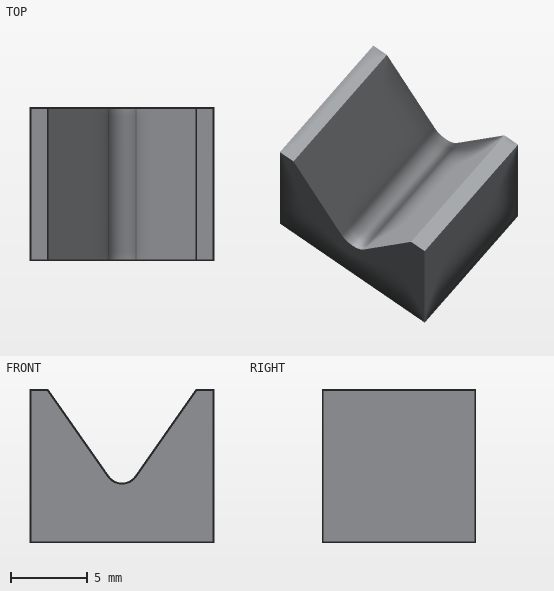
import cadquery as cq
import math

width = 12.0
depth = 10.0
height = 10.0

groove_top_width = 9.75
flank_angle = math.radians(35)
root_radius = 1.1

half_top = groove_top_width / 2
half_root = root_radius * math.cos(flank_angle)
root_z = height - (half_top - half_root) / math.tan(flank_angle)
bottom_z = root_z - root_radius * (1 - math.sin(flank_angle))

profile = (
    cq.Workplane("XZ")
    .moveTo(-width / 2, 0)
    .lineTo(width / 2, 0)
    .lineTo(width / 2, height)
    .lineTo(half_top, height)
    .lineTo(half_root, root_z)
    .threePointArc((0, bottom_z), (-half_root, root_z))
    .lineTo(-half_top, height)
    .lineTo(-width / 2, height)
    .close()
)

result = profile.extrude(depth / 2, both=True)